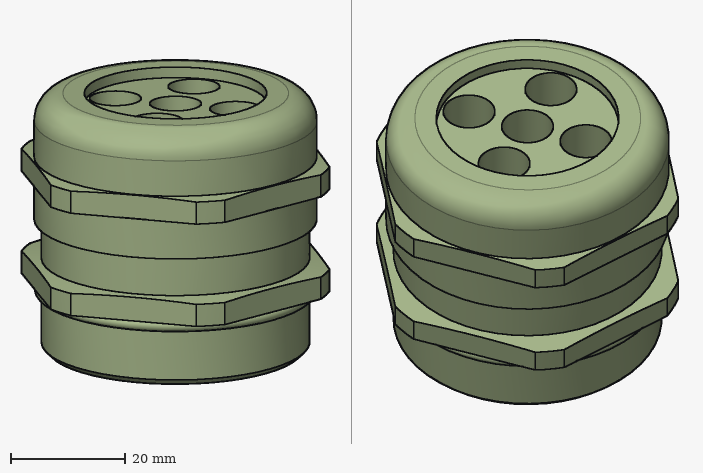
import cadquery as cq
import math

total_height = 46.5
ring_bottom = 10.0
lower_hex_bottom = 12.0
sleeve_bottom = 23.55
upper_hex_bottom = 30.65

thread_radius = 23.5
cap_radius = 24.75
cap_fillet = 5.0
base_chamfer = 1.1

ring_outer_radius = 24.7

across_flats = 50.0
collar_radius = 27.5
collar_edge_height = 4.0
cone_slope = 0.12

recess_radius = 15.95
recess_depth = 1.9
hole_diameter = 9.0
hole_offset = 11.0


def cylinder(radius, bottom, top):
    return cq.Workplane("XY").workplane(offset=bottom).circle(radius).extrude(top - bottom)


def hex_collar(bottom, seat_radius):
    """Hexagon with flats facing +-Y, trimmed by a cylinder whose top slopes up to the seat radius."""
    seat_height = collar_edge_height + cone_slope * (collar_radius - seat_radius)
    corner_diameter = across_flats / math.cos(math.pi / 6)
    hexagon = cq.Workplane("XY").polygon(6, corner_diameter).extrude(seat_height)
    envelope = (
        cq.Workplane("XZ")
        .lineTo(collar_radius, 0)
        .lineTo(collar_radius, collar_edge_height)
        .lineTo(seat_radius, seat_height)
        .lineTo(0, seat_height)
        .close()
        .revolve(360, (0, 0), (0, 1))
    )
    return hexagon.intersect(envelope).translate((0, 0, bottom))


def sealing_ring():
    """Ring with a half-round outer edge, filled in to the axis."""
    edge_radius = (lower_hex_bottom - ring_bottom) / 2
    shoulder_radius = ring_outer_radius - edge_radius
    return (
        cq.Workplane("XZ")
        .moveTo(0, ring_bottom)
        .lineTo(shoulder_radius, ring_bottom)
        .threePointArc(
            (ring_outer_radius, ring_bottom + edge_radius),
            (shoulder_radius, lower_hex_bottom),
        )
        .lineTo(0, lower_hex_bottom)
        .close()
        .revolve(360, (0, 0), (0, 1))
    )


core = cylinder(thread_radius, 0, sleeve_bottom).faces("<Z").edges().chamfer(base_chamfer)
cap = cylinder(cap_radius, sleeve_bottom, total_height).faces(">Z").edges().fillet(cap_fillet)
body = core.union(cap).union(sealing_ring())

body = body.union(hex_collar(lower_hex_bottom, thread_radius))
body = body.union(hex_collar(upper_hex_bottom, cap_radius))

recess = cylinder(recess_radius, total_height - recess_depth, total_height)
hole_centers = [(0, 0), (hole_offset, 0), (-hole_offset, 0), (0, hole_offset), (0, -hole_offset)]
holes = cq.Workplane("XY").pushPoints(hole_centers).circle(hole_diameter / 2).extrude(total_height)

result = body.cut(recess).cut(holes)